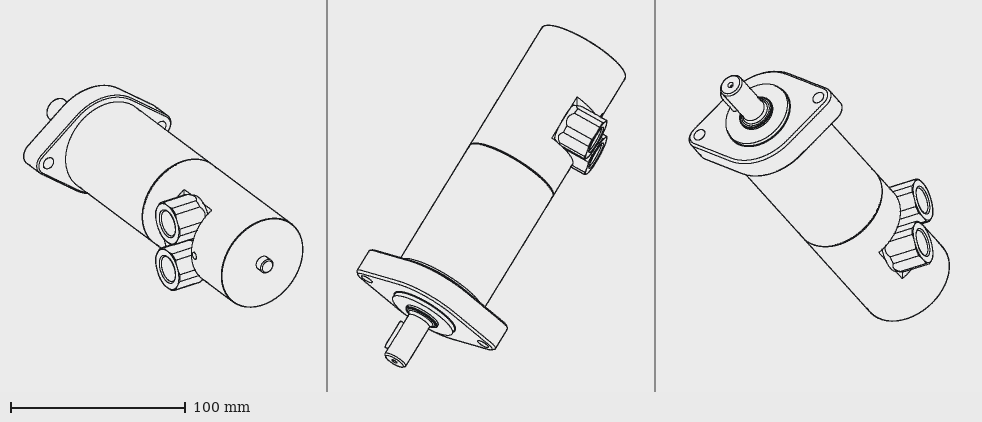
import cadquery as cq
import math


shaft_radius = 14.0 / 2
shaft_chamfer = 1.0
shaft_end = 28.0
centre_hole_diameter = 1.6
centre_hole_depth = 5.0
centre_hole_mouth_radius = 1.7
centre_hole_taper_depth = 1.6
seal_lip_radius = 8.0
seal_lip_end = 29.9
seal_lip_outer_radius = 9.0
seal_ring_radius = 19.95 / 2
seal_ring_start = 30.4
seal_collar_radius = 21.0 / 2
seal_collar_start = 30.8

key_start = 4.7
key_length = 18.0
key_width = 5.0
key_top = 9.0
key_height = 5.0

pilot_radius = 40.0 / 2
pilot_start = 31.9
pilot_shoulder_radius = 20.4
pilot_shoulder_width = 0.4
flange_start = 34.6
flange_end = 50.6
flange_radius = 62.0 / 2
flange_span = 92.0
lobe_radius = 7.5
lobe_offset = flange_span / 2 - lobe_radius
flange_hole_diameter = 7.0
flange_front_chamfer = 1.4
flange_rear_chamfer = 0.9

neck_radius = 48.16 / 2
body_radius = 56.0 / 2
body_start = 52.4
body_end = 214.8
groove_radius = 54.0 / 2
groove_start = 132.1
groove_width = 0.5
rim_chamfer = 0.3

stub_radius = 8.5 / 2
stub_end = 220.1
stub_chamfer = 0.7

port_x = 169.0
flat_length = 28.6
flat_offset = 14.0
port_spacing = 30.0
fitting_end = 35.0
fitting_across_flats = 24.0
fitting_turn = 30.0
fitting_corner_radius = 12.75
fitting_root_radius = 11.2
fitting_cone_height = 4.1
fitting_rim_height = 0.3
bore_diameter = 14.95
bore_depth = 15.0
bore_chamfer = 0.85

drain_x = 186.5
drain_diameter = 4.13
drain_depth = 8.0

drill_tip_angle = 118.0


def turned(points):
    """Revolve an (x, radius) outline about the X axis."""
    return cq.Workplane("XY").polyline(points).close().revolve(360, (0, 0, 0), (1, 0, 0))


def drill(diameter, depth, start, direction):
    """Blind drilled hole with a conical bottom."""
    radius = diameter / 2
    tip = radius / math.tan(math.radians(drill_tip_angle / 2))
    origin = cq.Vector(*start)
    axis = cq.Vector(*direction)
    straight = cq.Solid.makeCylinder(radius, depth, origin, axis)
    cone = cq.Solid.makeCone(radius, 0, tip, origin + axis * depth, axis)
    return cq.Workplane(straight.fuse(cone))


def make_shaft_and_seal():
    pilot_shoulder_start = flange_start - pilot_shoulder_width
    return turned([
        (0, 0),
        (0, shaft_radius - shaft_chamfer),
        (shaft_chamfer, shaft_radius),
        (shaft_end, shaft_radius),
        (seal_lip_end, seal_lip_radius),
        (seal_ring_start, seal_lip_outer_radius),
        (seal_ring_start, seal_ring_radius),
        (seal_collar_start, seal_ring_radius),
        (seal_collar_start, seal_collar_radius),
        (pilot_start, seal_collar_radius),
        (pilot_start, pilot_radius),
        (pilot_shoulder_start, pilot_radius),
        (pilot_shoulder_start, pilot_shoulder_radius),
        (flange_start, pilot_shoulder_radius),
        (flange_start, 0),
    ])


def make_centre_taper():
    """Conical mouth of the centre hole in the shaft tip."""
    return turned([
        (0, 0),
        (0, centre_hole_mouth_radius),
        (centre_hole_taper_depth, centre_hole_diameter / 2),
        (centre_hole_taper_depth, 0),
    ])


def make_body():
    groove_end = groove_start + groove_width
    return turned([
        (flange_end, 0),
        (flange_end, neck_radius),
        (body_start, neck_radius),
        (body_start, body_radius),
        (groove_start, body_radius),
        (groove_start, groove_radius),
        (groove_end, groove_radius),
        (groove_end, body_radius),
        (body_end - rim_chamfer, body_radius),
        (body_end, body_radius - rim_chamfer),
        (body_end, stub_radius),
        (stub_end - stub_chamfer, stub_radius),
        (stub_end, stub_radius - stub_chamfer),
        (stub_end, 0),
    ])


def make_flange():
    """Two-bolt plate: a large disc joined to two lobes by tangent lines."""
    cos_t = (flange_radius - lobe_radius) / lobe_offset
    sin_t = math.sqrt(1 - cos_t**2)
    disc_y = flange_radius * cos_t
    disc_z = flange_radius * sin_t
    lobe_y = lobe_offset + lobe_radius * cos_t
    lobe_z = lobe_radius * sin_t
    plate = (
        cq.Workplane("YZ", origin=(flange_start, 0, 0))
        .moveTo(-disc_y, disc_z)
        .threePointArc((0, flange_radius), (disc_y, disc_z))
        .lineTo(lobe_y, lobe_z)
        .threePointArc((flange_span / 2, 0), (lobe_y, -lobe_z))
        .lineTo(disc_y, -disc_z)
        .threePointArc((0, -flange_radius), (-disc_y, -disc_z))
        .lineTo(-lobe_y, -lobe_z)
        .threePointArc((-flange_span / 2, 0), (-lobe_y, lobe_z))
        .close()
        .extrude(flange_end - flange_start)
    )
    plate = plate.faces("<X").chamfer(flange_front_chamfer)
    plate = plate.faces(">X").chamfer(flange_rear_chamfer)
    hole_centres = [(-lobe_offset, 0), (lobe_offset, 0)]
    hole_plane = plate.faces("<X").workplane(origin=(flange_start, 0, 0))
    return hole_plane.pushPoints(hole_centres).hole(flange_hole_diameter)


def make_key():
    """Parallel key with round ends on the +Y side of the shaft."""
    return (
        cq.Workplane("XZ", origin=(key_start + key_length / 2, key_top, 0))
        .slot2D(key_length, key_width)
        .extrude(key_height)
    )


def make_flat_cut():
    depth = body_radius - flat_offset
    return cq.Workplane("XY").box(flat_length, depth, 2 * body_radius).translate(
        (port_x, -flat_offset - depth / 2, 0)
    )


def make_fitting(z):
    """Hexagonal fitting with turned corners and a conical root on the flat."""
    length = fitting_end - flat_offset
    plane = cq.Workplane("XZ", origin=(port_x, -flat_offset, z))
    hexagon = (
        plane.transformed(rotate=(0, 0, fitting_turn))
        .polygon(6, fitting_across_flats, circumscribed=True)
        .extrude(length)
    )
    blank = (
        cq.Workplane("XY")
        .polyline([
            (0, 0),
            (fitting_root_radius, 0),
            (fitting_corner_radius, -fitting_cone_height),
            (fitting_corner_radius, -length + fitting_rim_height),
            (fitting_across_flats / 2, -length),
            (0, -length),
        ])
        .close()
        .revolve(360, (0, 0, 0), (0, 1, 0))
        .translate((port_x, -flat_offset, z))
    )
    return hexagon.intersect(blank)


def make_bore(z):
    """Blind port bore with a chamfered mouth."""
    radius = bore_diameter / 2
    return (
        cq.Workplane("XY")
        .polyline([
            (0, 0),
            (radius + bore_chamfer, 0),
            (radius, bore_chamfer),
            (radius, bore_depth),
            (0, bore_depth),
        ])
        .close()
        .revolve(360, (0, 0, 0), (0, 1, 0))
        .translate((port_x, -fitting_end, z))
    )


result = make_body().union(make_flange()).union(make_shaft_and_seal()).union(make_key())
result = result.cut(make_flat_cut())
for port_z in (-port_spacing / 2, port_spacing / 2):
    result = result.union(make_fitting(port_z)).cut(make_bore(port_z))
result = result.cut(make_centre_taper())
result = result.cut(drill(centre_hole_diameter, centre_hole_depth, (0, 0, 0), (1, 0, 0)))
result = result.cut(drill(drain_diameter, drain_depth, (drain_x, -body_radius, 0), (0, 1, 0)))